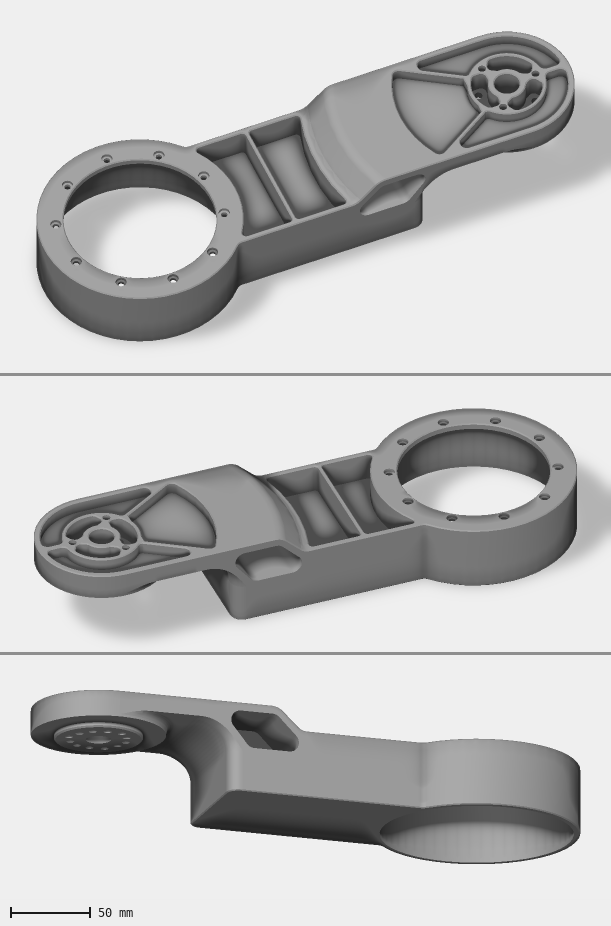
import cadquery as cq
import math

RING_RADIUS = 65.0
RING_HEIGHT = 43.0
LIP_RADIUS = 48.0
LIP_THICKNESS = 4.0
CAVITY_RADIUS = 61.0
RING_HOLE_COUNT = 10
RING_HOLE_CIRCLE = 53.0
RING_HOLE_DIAMETER = 4.0
COUNTERBORE_DIAMETER = 7.0
COUNTERBORE_DEPTH = 2.0
NECK_FILLET = 5.0

ARM_LENGTH = 250.0
ARM_RADIUS = 42.5
ARM_TOP = 57.7
ARM_BOTTOM = 46.2
BASE_END = 177.1
BASE_CORNER_RADIUS = 8.0
UNDERARM_FILLET = 20.0

STEP_RADIUS = 112.8
STEP_SLOPE = 45.0
STEP_TOP_FILLET = 10.0
STEP_FOOT_FILLET = 8.0

DISC_BOTTOM = 40.7
DISC_FILLET = 4.0
SPIGOT_BOTTOM = 37.7
SPIGOT_RADIUS = 28.0
SPIGOT_CHAMFER = 1.0

HUB_RADIUS = 25.0
HUB_BORE_RADIUS = 8.0
HUB_HOLE_COUNT = 12
HUB_HOLE_DIAMETER = 5.0
HUB_HOLE_CIRCLE = 18.0
BOSS_HOLE_CIRCLE = 19.5
HUB_FOOT_HALF_WIDTH = 16.0
HUB_FOOT_REACH = 23.5
HUB_FOOT_FILLET = 2.0
HUB_POCKET_COUNT = 3
HUB_POCKET_DEPTH = 15.0
HUB_POCKET_INNER = 12.0
HUB_POCKET_OUTER = 22.5
HUB_POCKET_START = 9.7
HUB_POCKET_HALF_WIDTH = 14.0
HUB_POCKET_CORNER = 3.4

ARM_POCKET_DEPTH = 8.0
ARM_POCKET_HALF_WIDTH = 38.5
SIDE_POCKET_REACH = 46.0
SIDE_POCKET_CORNER = 4.0
NOSE_RIB_WIDTH = 3.5
NOSE_RIB_FILLET = 4.0
FAN_RADIUS = 72.0
FAN_ANGLE = 32.0
FAN_START_HALF_WIDTH = 14.5
FAN_CORNER = 4.0
FAN_RIB_WIDTH = 2.5

BASE_POCKET_HALF_WIDTH = 39.0
BASE_POCKET_DEPTH = 19.0
BASE_POCKET_ARC = 130.5
BASE_RIB_Y = 89.0
BASE_RIB_WIDTH = 2.5
BASE_POCKET_CORNER = 2.5

WINDOW_TOP = 52.3
WINDOW_BOTTOM = 28.6
WINDOW_BACK_Y = 183.3
WINDOW_FRONT_Y = 122.8
WINDOW_BACK_ANGLE = 51.0
WINDOW_FRONT_ANGLE = 45.0
WINDOW_CORNER = 6.3
WINDOW_WEB = 5.0

EDGE_CHAMFER = 0.7
FLARE_CLEARANCE = 0.3
FLARE_ANGLE = 45.0
MARGIN = 10.0
OVERLAP = 1.0
TOLERANCE = 0.01


def cylinder(radius, bottom, top, y=0.0):
    return cq.Workplane("XY", origin=(0, y, bottom)).circle(radius).extrude(top - bottom)


def block(x_range, y_range, z_range):
    size = [high - low for low, high in (x_range, y_range, z_range)]
    corner = (x_range[0], y_range[0], z_range[0])
    return cq.Workplane("XY").box(*size, centered=False).translate(corner)


def around_hub(profile):
    """Revolve a profile drawn in radius and height about the hub axis."""
    return profile.revolve(360, (0, 0, 0), (0, 1, 0)).translate((0, ARM_LENGTH, 0))


def flared(cutter):
    """Widen the top of a cutter by a rim chamfer that carries on slightly above the surface."""
    for face in cutter.faces(">Z").vals():
        wire = face.outerWire().translate(cq.Vector(0, 0, -EDGE_CHAMFER))
        rise = cq.Vector(0, 0, EDGE_CHAMFER + FLARE_CLEARANCE)
        flare = cq.Solid.extrudeLinear(wire, [], rise, -FLARE_ANGLE)
        cutter = cutter.union(cq.Workplane(flare))
    return cutter


def outline_prism():
    shaft = block((-ARM_RADIUS, ARM_RADIUS), (0, ARM_LENGTH), (0, ARM_TOP))
    outline = shaft.union(cylinder(RING_RADIUS, 0, ARM_TOP))
    neck_y = math.sqrt(RING_RADIUS**2 - ARM_RADIUS**2)
    for side in (-1, 1):
        neck = cq.selectors.NearestToPointSelector((side * ARM_RADIUS, neck_y, ARM_TOP / 2))
        outline = outline.edges("|Z").edges(neck).fillet(NECK_FILLET)
    return outline.union(cylinder(ARM_RADIUS, 0, ARM_TOP, ARM_LENGTH))


def base_and_arm_blank():
    """Base with rounded end corners under a slab, joined by the underarm fillet."""
    half = RING_RADIUS + UNDERARM_FILLET
    base = block((-ARM_RADIUS, ARM_RADIUS), (0, BASE_END), (0, ARM_BOTTOM))
    base = base.edges("|Z and >Y").fillet(BASE_CORNER_RADIUS)
    slab = block((-half, half), (-half, ARM_LENGTH + half), (ARM_BOTTOM, ARM_TOP))
    blank = base.union(slab)
    junction = cq.selectors.BoxSelector(
        (-half, BASE_END - BASE_CORNER_RADIUS - OVERLAP, ARM_BOTTOM - OVERLAP),
        (half, BASE_END + OVERLAP, ARM_BOTTOM + OVERLAP),
    )
    return blank.edges(junction).fillet(UNDERARM_FILLET)


def step_cutter():
    """Space above the ring top and outside the conical step."""
    slope = math.radians(STEP_SLOPE)
    middle = slope / 2
    foot_radius = STEP_RADIUS + (ARM_TOP - RING_HEIGHT) / math.tan(slope)
    sag = 1 - math.cos(slope)
    top_run = STEP_TOP_FILLET * math.tan(middle)
    foot_run = STEP_FOOT_FILLET * math.tan(middle)
    top_mid = (
        STEP_RADIUS - top_run + STEP_TOP_FILLET * math.sin(middle),
        ARM_TOP - STEP_TOP_FILLET * (1 - math.cos(middle)),
    )
    top_end = (STEP_RADIUS + top_run * math.cos(slope), ARM_TOP - STEP_TOP_FILLET * sag)
    foot_start = (foot_radius - foot_run * math.cos(slope), RING_HEIGHT + STEP_FOOT_FILLET * sag)
    foot_mid = (
        foot_radius + foot_run - STEP_FOOT_FILLET * math.sin(middle),
        RING_HEIGHT + STEP_FOOT_FILLET * (1 - math.cos(middle)),
    )
    reach = ARM_LENGTH + RING_RADIUS + MARGIN
    profile = (
        cq.Workplane("XZ")
        .moveTo(STEP_RADIUS - top_run, ARM_TOP)
        .threePointArc(top_mid, top_end)
        .lineTo(*foot_start)
        .threePointArc(foot_mid, (foot_radius + foot_run, RING_HEIGHT))
        .lineTo(reach, RING_HEIGHT)
        .lineTo(reach, ARM_TOP + MARGIN)
        .lineTo(STEP_RADIUS - top_run, ARM_TOP + MARGIN)
        .close()
    )
    return around_hub(profile)


def disc_and_spigot():
    flare_z = ARM_BOTTOM - DISC_FILLET
    flare_radius = ARM_RADIUS + DISC_FILLET
    diagonal = DISC_FILLET * math.sqrt(0.5)
    profile = (
        cq.Workplane("XZ")
        .moveTo(0, DISC_BOTTOM)
        .lineTo(ARM_RADIUS, DISC_BOTTOM)
        .lineTo(ARM_RADIUS, flare_z)
        .threePointArc((flare_radius - diagonal, flare_z + diagonal), (flare_radius, ARM_BOTTOM))
        .lineTo(flare_radius, ARM_BOTTOM + OVERLAP)
        .lineTo(0, ARM_BOTTOM + OVERLAP)
        .close()
    )
    disc = around_hub(profile)
    spigot = cylinder(SPIGOT_RADIUS, SPIGOT_BOTTOM, ARM_BOTTOM, ARM_LENGTH)
    return disc.union(spigot.faces("<Z").edges().chamfer(SPIGOT_CHAMFER))


def outer_body():
    blank = base_and_arm_blank().union(disc_and_spigot())
    ring_span = (-RING_RADIUS, RING_RADIUS)
    blank = blank.union(block(ring_span, ring_span, (0, ARM_BOTTOM)))
    body = blank.intersect(outline_prism()).cut(step_cutter())
    body = body.faces("<Z").edges().chamfer(EDGE_CHAMFER)
    arm_rim = cq.selectors.BoxSelector(
        (-RING_RADIUS, ARM_LENGTH - STEP_RADIUS + STEP_TOP_FILLET, ARM_TOP - TOLERANCE),
        (RING_RADIUS, ARM_LENGTH + ARM_RADIUS, ARM_TOP + TOLERANCE),
    )
    return body.edges(arm_rim).chamfer(EDGE_CHAMFER)


def hub_pocket():
    """Pocket on the -Y side of the hub."""
    floor = ARM_TOP - HUB_POCKET_DEPTH
    pocket = block(
        (-HUB_POCKET_HALF_WIDTH, HUB_POCKET_HALF_WIDTH),
        (-HUB_RADIUS, -HUB_POCKET_START),
        (floor, ARM_TOP),
    )
    pocket = pocket.intersect(cylinder(HUB_POCKET_OUTER, floor, ARM_TOP))
    pocket = pocket.cut(cylinder(HUB_POCKET_INNER, floor, ARM_TOP))
    corners = pocket.edges("|Z").edges("<X or >X")
    return flared(corners.fillet(HUB_POCKET_CORNER))


def side_pockets():
    """Pair of pockets along the arm walls, in hub-centred coordinates."""
    floor = ARM_TOP - ARM_POCKET_DEPTH
    z_range = (floor, ARM_TOP)
    half = ARM_POCKET_HALF_WIDTH
    pockets = block((-half, half), (-SIDE_POCKET_REACH, 0), z_range)
    pockets = pockets.union(cylinder(half, *z_range))
    pockets = pockets.cut(cylinder(HUB_RADIUS, *z_range))
    pockets = pockets.cut(block((-NOSE_RIB_WIDTH / 2, NOSE_RIB_WIDTH / 2), (0, half + OVERLAP), z_range))
    spread = math.tan(math.radians(FAN_ANGLE))
    rib_half = FAN_START_HALF_WIDTH + FAN_RIB_WIDTH / math.cos(math.radians(FAN_ANGLE))
    rib_end = SIDE_POCKET_REACH + OVERLAP
    foot_y = -HUB_FOOT_REACH + (rib_half - HUB_FOOT_HALF_WIDTH) / spread
    end_half = HUB_FOOT_HALF_WIDTH + (foot_y + rib_end) * spread
    hub_foot_and_ribs = (
        cq.Workplane("XY", origin=(0, 0, floor))
        .polyline([
            (-HUB_FOOT_HALF_WIDTH, 0),
            (HUB_FOOT_HALF_WIDTH, 0),
            (HUB_FOOT_HALF_WIDTH, foot_y),
            (end_half, -rib_end),
            (-end_half, -rib_end),
            (-HUB_FOOT_HALF_WIDTH, foot_y),
        ])
        .close()
        .extrude(ARM_POCKET_DEPTH)
    )
    pockets = pockets.cut(hub_foot_and_ribs)
    pockets = pockets.edges("|Z").edges("<Y").fillet(SIDE_POCKET_CORNER)
    rib_edges = cq.selectors.BoxSelector((-NOSE_RIB_WIDTH, 0, floor), (NOSE_RIB_WIDTH, half, ARM_TOP))
    pockets = pockets.edges("|Z").edges(rib_edges).fillet(NOSE_RIB_FILLET)
    hub_corner_y = -math.sqrt(HUB_RADIUS**2 - HUB_FOOT_HALF_WIDTH**2)
    for side in (-1, 1):
        corner = cq.selectors.NearestToPointSelector(
            (side * HUB_FOOT_HALF_WIDTH, hub_corner_y, floor + ARM_POCKET_DEPTH / 2))
        pockets = pockets.edges("|Z").edges(corner).fillet(HUB_FOOT_FILLET)
    return flared(pockets)


def fan_pocket():
    """Fan-shaped pocket on the -Y side of the hub, in hub-centred coordinates."""
    floor = ARM_TOP - ARM_POCKET_DEPTH
    end_half = FAN_START_HALF_WIDTH + (FAN_RADIUS - HUB_FOOT_REACH) * math.tan(math.radians(FAN_ANGLE))
    fan = (
        cq.Workplane("XY", origin=(0, 0, floor))
        .polyline([
            (-FAN_START_HALF_WIDTH, -HUB_FOOT_REACH),
            (FAN_START_HALF_WIDTH, -HUB_FOOT_REACH),
            (end_half, -FAN_RADIUS),
            (-end_half, -FAN_RADIUS),
        ])
        .close()
        .extrude(ARM_POCKET_DEPTH)
    )
    fan = fan.intersect(cylinder(FAN_RADIUS, floor, ARM_TOP))
    fan = fan.edges("|Z").edges("<X or >X").fillet(FAN_CORNER)
    return flared(fan.cut(cylinder(HUB_RADIUS, floor, ARM_TOP)))


def hub_holes():
    """Bolt holes, every fourth one through a boss and slightly further out."""
    holes = flared(cylinder(HUB_BORE_RADIUS, SPIGOT_BOTTOM, ARM_TOP))
    for index in range(HUB_HOLE_COUNT):
        angle = math.radians(90 + index * 360 / HUB_HOLE_COUNT)
        in_boss = index % (HUB_HOLE_COUNT // HUB_POCKET_COUNT) == 0
        distance = BOSS_HOLE_CIRCLE if in_boss else HUB_HOLE_CIRCLE
        hole = cylinder(HUB_HOLE_DIAMETER / 2, SPIGOT_BOTTOM, ARM_TOP)
        holes = holes.union(hole.translate((distance * math.cos(angle), distance * math.sin(angle), 0)))
    return holes


def arm_end_cutters():
    cutters = side_pockets().union(fan_pocket()).union(hub_holes())
    for index in range(HUB_POCKET_COUNT):
        cutters = cutters.union(hub_pocket().rotate((0, 0, 0), (0, 0, 1), index * 360 / HUB_POCKET_COUNT))
    return cutters.translate((0, ARM_LENGTH, 0))


def base_pockets():
    floor = RING_HEIGHT - BASE_POCKET_DEPTH
    z_range = (floor, RING_HEIGHT)
    x_range = (-BASE_POCKET_HALF_WIDTH, BASE_POCKET_HALF_WIDTH)
    rib_near = BASE_RIB_Y - BASE_RIB_WIDTH / 2
    rib_far = BASE_RIB_Y + BASE_RIB_WIDTH / 2
    far = block(x_range, (rib_far, BASE_END), z_range)
    far = far.cut(cylinder(BASE_POCKET_ARC, *z_range, ARM_LENGTH))
    near = block(x_range, (0, rib_near), z_range).cut(cylinder(RING_RADIUS, *z_range))
    near = near.edges("|Z").fillet(BASE_POCKET_CORNER)
    far = far.edges("|Z").fillet(BASE_POCKET_CORNER)
    return flared(near).union(flared(far))


def side_windows():
    rise = WINDOW_TOP - WINDOW_BOTTOM
    back_run = rise / math.tan(math.radians(WINDOW_BACK_ANGLE))
    front_run = rise / math.tan(math.radians(WINDOW_FRONT_ANGLE))
    depth = ARM_RADIUS - WINDOW_WEB / 2
    window = (
        cq.Workplane("YZ", origin=(WINDOW_WEB / 2, 0, 0))
        .polyline([
            (WINDOW_BACK_Y, WINDOW_TOP),
            (WINDOW_BACK_Y - back_run, WINDOW_BOTTOM),
            (WINDOW_FRONT_Y, WINDOW_BOTTOM),
            (WINDOW_FRONT_Y + front_run, WINDOW_TOP),
        ])
        .close()
        .extrude(depth)
        .edges("|X")
        .fillet(WINDOW_CORNER)
    )
    return window.union(window.mirror("YZ"))


def ring_cutters():
    lip_bottom = RING_HEIGHT - LIP_THICKNESS
    lip_opening = cylinder(LIP_RADIUS, lip_bottom, RING_HEIGHT)
    cutters = cylinder(CAVITY_RADIUS, 0, lip_bottom).union(flared(lip_opening))
    hole = cylinder(RING_HOLE_DIAMETER / 2, lip_bottom, RING_HEIGHT)
    hole = hole.union(cylinder(COUNTERBORE_DIAMETER / 2, RING_HEIGHT - COUNTERBORE_DEPTH, RING_HEIGHT))
    for index in range(RING_HOLE_COUNT):
        turn = index * 360 / RING_HOLE_COUNT
        cutters = cutters.union(
            hole.translate((RING_HOLE_CIRCLE, 0, 0)).rotate((0, 0, 0), (0, 0, 1), turn)
        )
    return cutters


result = outer_body()
result = result.cut(arm_end_cutters())
result = result.cut(base_pockets())
result = result.cut(side_windows())
result = result.cut(ring_cutters())